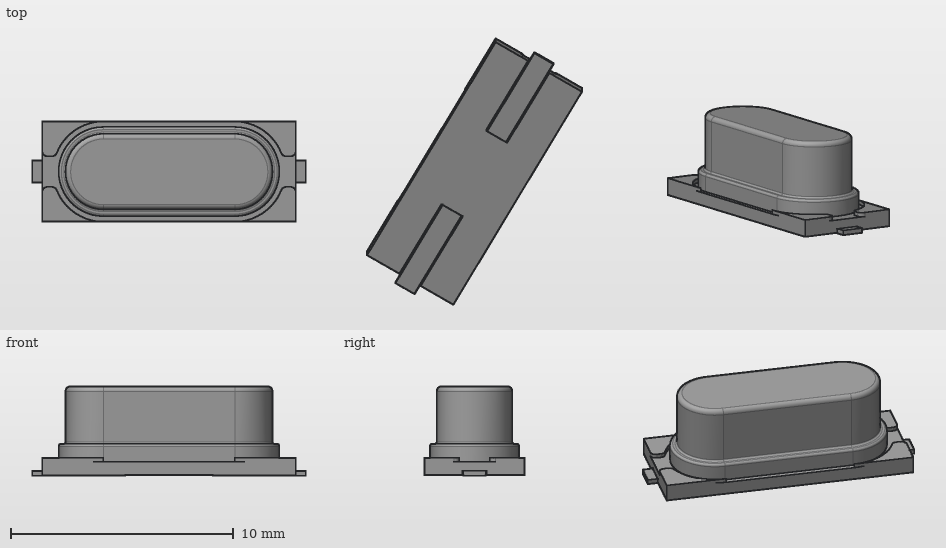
import cadquery as cq

plate_length = 11.39
plate_width = 4.5
plate_bottom = 0.04
plate_top = 0.81

recess_floor = 0.63
recess_radius = plate_width / 2
neck_width = 1.38
neck_corner_radius = 0.23

end_center_x = 2.95
can_radius = 1.7
can_top = 4.02
can_top_fillet = 0.22
flange_radius = 2.0
flange_top = 1.44
flange_fillet = 0.11
can_foot_fillet = 0.09

lead_outer_x = 6.15
lead_inner_x = 1.97
lead_width = 1.0
lead_thickness = 0.22
lead_side_gap = 0.05

pick_margin = 0.01


def rounded_bar(radius, bottom, top):
    """Upright bar with semicircular ends centred on the two can end centres."""
    return (
        cq.Workplane("XY", origin=(0, 0, bottom))
        .slot2D(2 * (end_center_x + radius), 2 * radius)
        .extrude(top - bottom)
    )


def box_between(x_start, x_end, width, bottom, top):
    """Box from x_start to x_end, centred on the X axis."""
    return (
        cq.Workplane("XY", origin=((x_start + x_end) / 2, 0, bottom))
        .rect(abs(x_end - x_start), width)
        .extrude(top - bottom)
    )


def make_recess():
    """Can-shaped recess joined to a neck that opens at both plate ends."""
    return rounded_bar(recess_radius, recess_floor, plate_top).union(
        box_between(-plate_length / 2, plate_length / 2, neck_width, recess_floor, plate_top)
    )


def make_plate():
    plate = box_between(-plate_length / 2, plate_length / 2, plate_width, plate_bottom, plate_top)
    plate = plate.cut(make_recess())
    neck_wall_selector = cq.selectors.BoxSelector(
        (-plate_length, -neck_width / 2 - pick_margin, recess_floor),
        (plate_length, neck_width / 2 + pick_margin, plate_top),
    )
    return plate.edges("|Z").edges(neck_wall_selector).fillet(neck_corner_radius)


def make_can():
    flange = rounded_bar(flange_radius, recess_floor, flange_top)
    flange = flange.faces(">Z").edges().fillet(flange_fillet)
    body = rounded_bar(can_radius, flange_top, can_top)
    body = body.faces(">Z").edges().fillet(can_top_fillet)
    can = flange.union(body)
    pick_x = end_center_x + can_radius + pick_margin
    pick_y = can_radius + pick_margin
    foot_selector = cq.selectors.BoxSelector(
        (-pick_x, -pick_y, flange_top - pick_margin),
        (pick_x, pick_y, flange_top + pick_margin),
    )
    return can.edges(foot_selector).fillet(can_foot_fillet)


part = make_plate().union(make_can())
for side in (-1, 1):
    notch = box_between(
        side * lead_inner_x,
        side * plate_length / 2,
        lead_width + 2 * lead_side_gap,
        plate_bottom,
        lead_thickness,
    )
    lead = box_between(side * lead_inner_x, side * lead_outer_x, lead_width, 0, lead_thickness)
    part = part.cut(notch).union(lead)

result = part